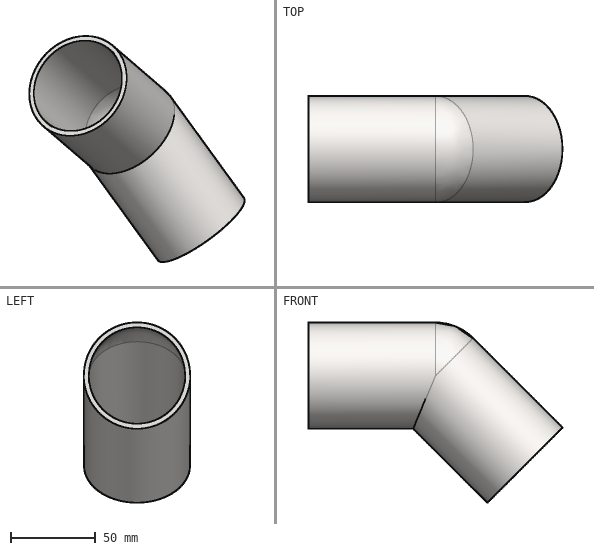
import cadquery as cq
import math

outer_diameter = 63.0
inner_diameter = 57.0
leg_length = 75.0
bend_angle = 45.0

inlet_direction = cq.Vector(-1, 0, 0)
outlet_direction = cq.Vector(
    math.cos(math.radians(bend_angle)),
    0,
    -math.sin(math.radians(bend_angle)),
)


def leg(radius, direction):
    """Straight round bar from the bend centre to one open end."""
    return cq.Workplane(obj=cq.Solid.makeCylinder(radius, leg_length, cq.Vector(0, 0, 0), direction))


def knuckle(radius):
    """Spherical wedge that fills the outside of the bend between the two leg ends."""
    return (
        cq.Workplane("YZ")
        .moveTo(-radius, 0)
        .threePointArc((0, radius), (radius, 0))
        .close()
        .revolve(bend_angle, (-radius, 0), (radius, 0))
    )


def bent_bar(radius):
    """Solid elbow of one radius: both legs and the knuckle joining them."""
    return leg(radius, inlet_direction).union(leg(radius, outlet_direction)).union(knuckle(radius))


result = bent_bar(outer_diameter / 2).cut(bent_bar(inner_diameter / 2))